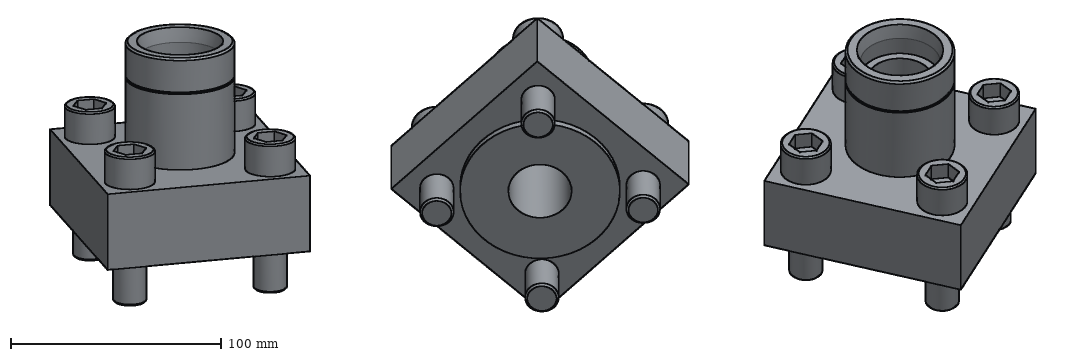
import cadquery as cq
import math

overall_height = 116.0

plate_side = 100.0
plate_thickness = 38.0

boss_diameter = 76.0
boss_height = 4.0

tube_diameter = 52.0
tube_top = 55.9
collar_height = 18.0
collar_chamfer = 1.0

passage_diameter = 30.0
counterbore_diameter = 38.0
counterbore_depth = 16.0
mouth_depth = 7.0
mouth_half_angle = 12

screw_spacing = 69.4
head_diameter = 24.0
head_height = 16.0
head_chamfer = 0.8
shank_diameter = 16.0
shank_projection = overall_height - plate_thickness - tube_top
shank_chamfer = 1.0
socket_across_flats = 14.0
socket_depth = 8.0


def cylinder(diameter, bottom, top):
    return cq.Workplane("XY").workplane(offset=bottom).circle(diameter / 2).extrude(top - bottom)


def make_screw():
    """Screw on the Z axis, with its head seated on the plate."""
    head = cylinder(head_diameter, 0, head_height).faces(">Z").chamfer(head_chamfer)
    shank_bottom = -plate_thickness - shank_projection
    shank = cylinder(shank_diameter, shank_bottom, 0).faces("<Z").chamfer(shank_chamfer)
    across_corners = socket_across_flats / math.cos(math.radians(30))
    socket = (
        cq.Workplane("XY")
        .workplane(offset=head_height - socket_depth)
        .polygon(6, across_corners)
        .extrude(socket_depth)
        .rotate((0, 0, 0), (0, 0, 1), 30)
    )
    return head.union(shank).cut(socket)


def make_bore():
    """Revolved volume removed along the connector axis."""
    passage_radius = passage_diameter / 2
    counterbore_radius = counterbore_diameter / 2
    mouth_radius = counterbore_radius + mouth_depth * math.tan(math.radians(mouth_half_angle))
    shoulder = tube_top - counterbore_depth
    bottom = -plate_thickness - boss_height
    return (
        cq.Workplane("XZ")
        .moveTo(0, bottom)
        .lineTo(passage_radius, bottom)
        .lineTo(passage_radius, shoulder)
        .lineTo(counterbore_radius, shoulder)
        .lineTo(counterbore_radius, tube_top - mouth_depth)
        .lineTo(mouth_radius, tube_top)
        .lineTo(0, tube_top)
        .close()
        .revolve(360, (0, 0, 0), (0, 1, 0))
    )


plate = cq.Workplane("XY").rect(plate_side, plate_side).extrude(-plate_thickness)
boss = cylinder(boss_diameter, -plate_thickness - boss_height, -plate_thickness)

collar_bottom = tube_top - collar_height
tube = cylinder(tube_diameter, 0, collar_bottom)
collar = cylinder(tube_diameter, collar_bottom, tube_top).faces("<Z or >Z").chamfer(collar_chamfer)

result = plate.union(boss).union(tube).union(collar).cut(make_bore())

screw = make_screw()
for x_side in (-1, 1):
    for y_side in (-1, 1):
        position = (x_side * screw_spacing / 2, y_side * screw_spacing / 2, 0)
        result = result.union(screw.translate(position))